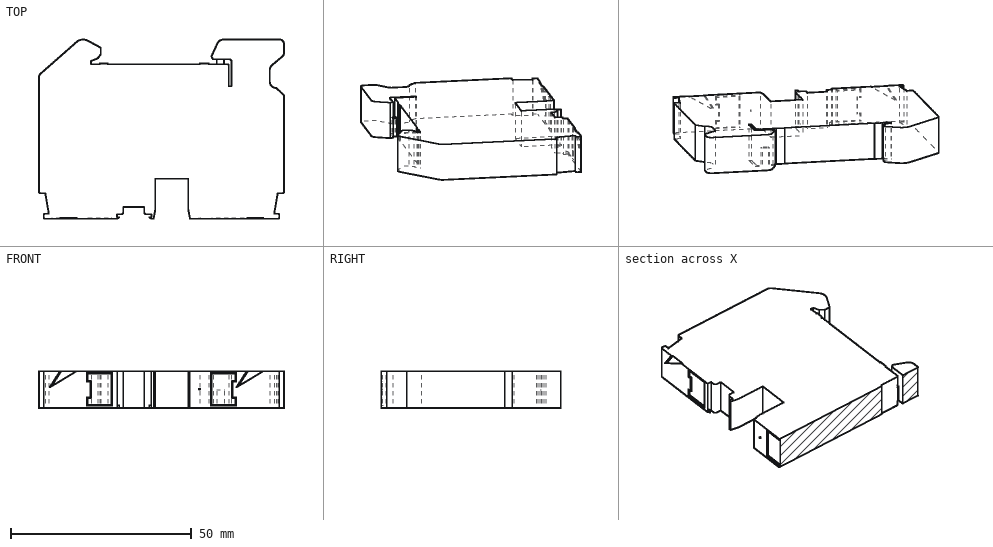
import cadquery as cq

length = 67.9
height = 49.7
thickness = 10.2

right = length / 2
left = -right
top = height / 2
bottom = -top
z_top = thickness / 2
z_bottom = -z_top

shoulder_y = -17.8
shoulder_x = 32.2
foot_neck_x = 31.25
foot_top_y = -23.35
foot_end_x = 32.6
foot_edge_radius = 0.35
shoulder_radius = 0.5

clip_floor_y = -21.6
clip_left, clip_right = -10.5, -4.8
clip_step_y = -23.6
clip_step_left, clip_step_right = -12.3, -2.8
clip_step_radius = 0.7

rail_left, rail_right = -1.7, 7.4
rail_ceiling_y = -13.8
rail_lead_y = -22.4
rail_lead = 0.5

ledge_y = 18.0

hook_base_y = 14.95
hook_apex = (-22.1, 25.4)
hook_tip_top = (-16.8, 22.55)
hook_tip_bottom_y = 20.7
hook_belly = (-17.65, 19.55)
hook_root = (-19.5, 18.8)
hook_base_radius = 1.4
hook_crown_radius = 2.7
hook_tip_radius = 0.4

lever_slot_left, lever_slot_right = 18.7, 19.35
lever_slot_bottom = 11.9
lever_slot_radius = 0.5
lever_underside_y = 19.3
lever_nose_x = 13.8
lever_nose_bottom_x = 14.25
lever_nose_y = 20.1
lever_nose_top_x = 15.95
lever_top_radius = 2.05
lever_corner_radius = 1.35

notch_x = 30.0
notch_upper_y = 20.5
notch_throat_y = 17.2
notch_lower_y = 11.4
notch_shelf_x = 31.8
notch_end_y = 9.3
notch_radius = 1.7

web_left, web_right = 15.3, 17.3
web_top_z = 0.0

pad_height = 0.2
pad_spans = [(-17.1, -14.9), (10.6, 13.05)]

pocket_inner_x, pocket_outer_x = 13.65, 20.65
pocket_bottom_z, pocket_top_z = -4.5, 4.7
tongue_x = 19.75
tongue_bottom_z, tongue_top_z = -2.2, 2.25
pocket_depth = 0.3
pocket_wall_taper = 45

arrow_tip_xs = [-30.95, 20.7]
arrow_tip_z = 0.6
arrow_near_edge = 2.85
arrow_far_edge = 7.5
arrow_depth = 0.3
arrow_wall_slope = 0.35

pinhole_x, pinhole_z = 10.5, 0.15
pinhole_diameter = 0.35
pinhole_depth = 0.3

nub_length = 0.6
nub_height = 0.5
nub_thickness = 0.75


def fillet_at(body, x, y, radius):
    """Round the Z edge that passes through (x, y)."""
    reach = 0.035
    box = cq.selectors.BoxSelector(
        (x - reach, y - reach, z_bottom - reach), (x + reach, y + reach, z_top + reach), boundingbox=True
    )
    return body.edges(box).fillet(radius)


def housing():
    outline = [
        (-foot_end_x, bottom),
        (clip_step_left, bottom),
        (clip_step_left, clip_step_y),
        (clip_left, clip_step_y),
        (clip_left, clip_floor_y),
        (clip_right, clip_floor_y),
        (clip_right, clip_step_y),
        (clip_step_right, clip_step_y),
        (clip_step_right, bottom),
        (rail_left - rail_lead, bottom),
        (rail_left, rail_lead_y),
        (rail_left, rail_ceiling_y),
        (rail_right, rail_ceiling_y),
        (rail_right, rail_lead_y),
        (rail_right + rail_lead, bottom),
        (foot_end_x, bottom),
        (foot_end_x, foot_top_y),
        (foot_neck_x, foot_top_y),
        (shoulder_x, shoulder_y),
        (right, shoulder_y),
        (right, notch_end_y),
        (notch_shelf_x, notch_lower_y),
        (notch_x, notch_lower_y),
        (notch_x, notch_throat_y),
        (right, notch_upper_y),
        (right, top),
        (lever_nose_top_x, top),
        (lever_nose_x, lever_nose_y),
        (lever_nose_bottom_x, lever_underside_y),
        (lever_slot_right, lever_underside_y),
        (lever_slot_right, lever_slot_bottom),
        (lever_slot_left, lever_slot_bottom),
        (lever_slot_left, ledge_y),
        (hook_root[0], ledge_y),
        hook_root,
        hook_belly,
        (hook_tip_top[0], hook_tip_bottom_y),
        hook_tip_top,
        hook_apex,
        (left, hook_base_y),
        (left, shoulder_y),
        (-shoulder_x, shoulder_y),
        (-foot_neck_x, foot_top_y),
        (-foot_end_x, foot_top_y),
    ]
    body = cq.Workplane("XY").workplane(offset=z_bottom).polyline(outline).close().extrude(thickness)
    rounded_corners = [
        (-foot_end_x, bottom, foot_edge_radius),
        (-foot_end_x, foot_top_y, foot_edge_radius),
        (foot_end_x, bottom, foot_edge_radius),
        (foot_end_x, foot_top_y, foot_edge_radius),
        (left, shoulder_y, shoulder_radius),
        (right, shoulder_y, shoulder_radius),
        (clip_left, clip_step_y, clip_step_radius),
        (clip_right, clip_step_y, clip_step_radius),
        (lever_slot_left, ledge_y, lever_slot_radius),
        (lever_slot_right, lever_underside_y, lever_slot_radius),
        (left, hook_base_y, hook_base_radius),
        (*hook_apex, hook_crown_radius),
        (*hook_tip_top, hook_tip_radius),
        (lever_nose_top_x, top, lever_top_radius),
        (right, top, lever_corner_radius),
        (right, notch_upper_y, lever_corner_radius),
        (notch_x, notch_throat_y, notch_radius),
        (notch_x, notch_lower_y, notch_radius),
    ]
    for x, y, radius in rounded_corners:
        body = fillet_at(body, x, y, radius)
    return body


def block(x_start, x_end, y_start, y_end, z_start, z_end):
    size = (x_end - x_start, y_end - y_start, z_end - z_start)
    return cq.Workplane("XY").box(*size, centered=False).translate((x_start, y_start, z_start))


def front_sketch():
    """Workplane on the -Y face: local axes are X and Z, extrusion runs out of the part."""
    return cq.Workplane("XZ", origin=(0, bottom, 0))


def marker_pocket():
    outline = [
        (pocket_inner_x, pocket_bottom_z),
        (pocket_outer_x, pocket_bottom_z),
        (pocket_outer_x, tongue_bottom_z),
        (tongue_x, tongue_bottom_z),
        (tongue_x, tongue_top_z),
        (pocket_outer_x, tongue_top_z),
        (pocket_outer_x, pocket_top_z),
        (pocket_inner_x, pocket_top_z),
    ]
    return front_sketch().polyline(outline).close().extrude(-pocket_depth, taper=pocket_wall_taper)


def arrow_outline(tip_x, near_shift):
    """Triangle with its near edge moved by near_shift toward the fixed far edge."""
    tip_slide = near_shift / (arrow_far_edge - arrow_near_edge)
    return [
        (tip_x + tip_slide * arrow_far_edge, arrow_tip_z + tip_slide * (z_top - arrow_tip_z)),
        (tip_x + arrow_far_edge, z_top),
        (tip_x + arrow_near_edge + near_shift, z_top),
    ]


def arrow_recess(tip_x):
    """Recess whose near wall slopes inward while its far wall stands square to the face."""
    opening = front_sketch().polyline(arrow_outline(tip_x, 0)).close()
    floor = opening.workplane(offset=-arrow_depth).polyline(arrow_outline(tip_x, arrow_wall_slope)).close()
    return floor.loft(ruled=True)


def latch_nub(wall_x, direction):
    outline = [
        (wall_x, bottom),
        (wall_x + direction * nub_length, bottom + nub_height),
        (wall_x, bottom + nub_height),
    ]
    return cq.Workplane("XY").workplane(offset=z_bottom).polyline(outline).close().extrude(nub_thickness)


result = housing()

result = result.union(block(web_left, web_right, ledge_y, lever_underside_y, z_bottom, web_top_z))
for pad_start, pad_end in pad_spans:
    result = result.union(block(pad_start, pad_end, ledge_y, ledge_y + pad_height, z_bottom, z_top))
result = result.union(latch_nub(clip_step_left, 1))
result = result.union(latch_nub(clip_step_right, -1))

right_pocket = marker_pocket()
result = result.cut(right_pocket).cut(right_pocket.mirror("YZ"))
for arrow_tip_x in arrow_tip_xs:
    result = result.cut(arrow_recess(arrow_tip_x))
pinhole = front_sketch().center(pinhole_x, pinhole_z).circle(pinhole_diameter / 2).extrude(-pinhole_depth)
result = result.cut(pinhole)